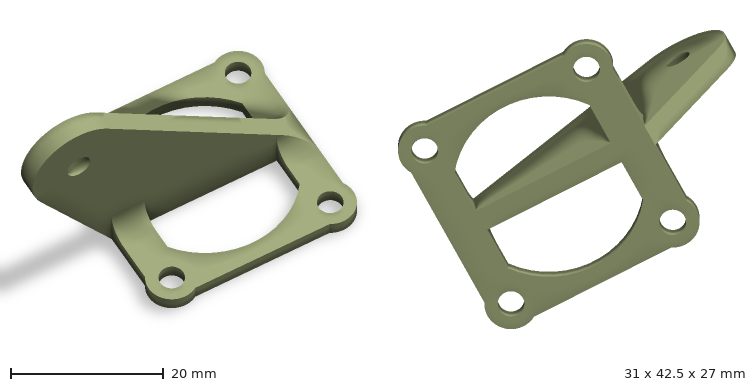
import cadquery as cq
import math

total_length = 42.5
total_height = 27.0

plate_side = 30.0
plate_thickness = 2.0
hole_pitch = 24.0
hole_diameter = 3.5
lobe_diameter = 7.0
opening_diameter = 24.98
opening_length = 20.0

rib_thickness = 3.0
fillet_radius = 3.0
eye_radius = 7.0
eye_y = (hole_pitch + lobe_diameter) / 2 - total_length + eye_radius
eye_z = total_height - eye_radius
half_side = plate_side / 2


def tangent_point(start, side):
    """Point where a line from start touches the eye; side +1 or -1 picks the tangent."""
    start_y, start_z = start
    distance = math.hypot(start_y - eye_y, start_z - eye_z)
    direction = math.atan2(start_z - eye_z, start_y - eye_y)
    angle = direction + side * math.acos(eye_radius / distance)
    return (eye_y + eye_radius * math.cos(angle), eye_z + eye_radius * math.sin(angle))


def make_plate():
    """Square plate with round corner lobes, corner holes and a flat-sided round opening."""
    corners = [(x * hole_pitch / 2, y * hole_pitch / 2) for x in (-1, 1) for y in (-1, 1)]
    wide_bar = cq.Workplane("XY").rect(plate_side, hole_pitch).extrude(plate_thickness)
    long_bar = cq.Workplane("XY").rect(hole_pitch, plate_side).extrude(plate_thickness)
    lobes = cq.Workplane("XY").pushPoints(corners).circle(lobe_diameter / 2).extrude(plate_thickness)
    holes = cq.Workplane("XY").pushPoints(corners).circle(hole_diameter / 2).extrude(plate_thickness)
    opening = cq.Workplane("XY").circle(opening_diameter / 2).extrude(plate_thickness)
    opening_limit = cq.Workplane("XY").rect(opening_diameter, opening_length).extrude(plate_thickness)
    plate = wide_bar.union(long_bar).union(lobes)
    return plate.cut(holes).cut(opening.intersect(opening_limit))


def make_rib(thickness):
    """Side profile of the rib, extruded symmetrically about X = 0."""
    front_foot = (-half_side, 0)
    back_top = (half_side, plate_thickness)
    outward = math.atan2(eye_z, eye_y)
    arc_middle = (eye_y + eye_radius * math.cos(outward), eye_z + eye_radius * math.sin(outward))
    return (
        cq.Workplane("YZ")
        .moveTo(*front_foot)
        .lineTo(half_side, 0)
        .lineTo(*back_top)
        .lineTo(*tangent_point(back_top, 1))
        .threePointArc(arc_middle, tangent_point(front_foot, -1))
        .close()
        .extrude(thickness / 2, both=True)
    )


def make_fillets():
    """Concave fillets joining the rib to the front and back plate bars."""
    rib_face = rib_thickness / 2
    fillet_end = rib_face + fillet_radius
    fillet_top = plate_thickness + fillet_radius
    mid_offset = fillet_radius * math.sqrt(0.5)
    section = (
        cq.Workplane("XZ", origin=(0, half_side, 0))
        .moveTo(-fillet_end, plate_thickness)
        .threePointArc((-fillet_end + mid_offset, fillet_top - mid_offset), (-rib_face, fillet_top))
        .lineTo(rib_face, fillet_top)
        .threePointArc((fillet_end - mid_offset, fillet_top - mid_offset), (fillet_end, plate_thickness))
        .close()
        .extrude(plate_side)
    )
    gap = cq.Workplane("XY").rect(2 * fillet_end, opening_length).extrude(fillet_top)
    return section.cut(gap).intersect(make_rib(2 * fillet_end))


eye_hole = (
    cq.Workplane("YZ")
    .center(eye_y, eye_z)
    .circle(hole_diameter / 2)
    .extrude(rib_thickness, both=True)
)

result = make_plate().union(make_rib(rib_thickness)).union(make_fillets()).cut(eye_hole)